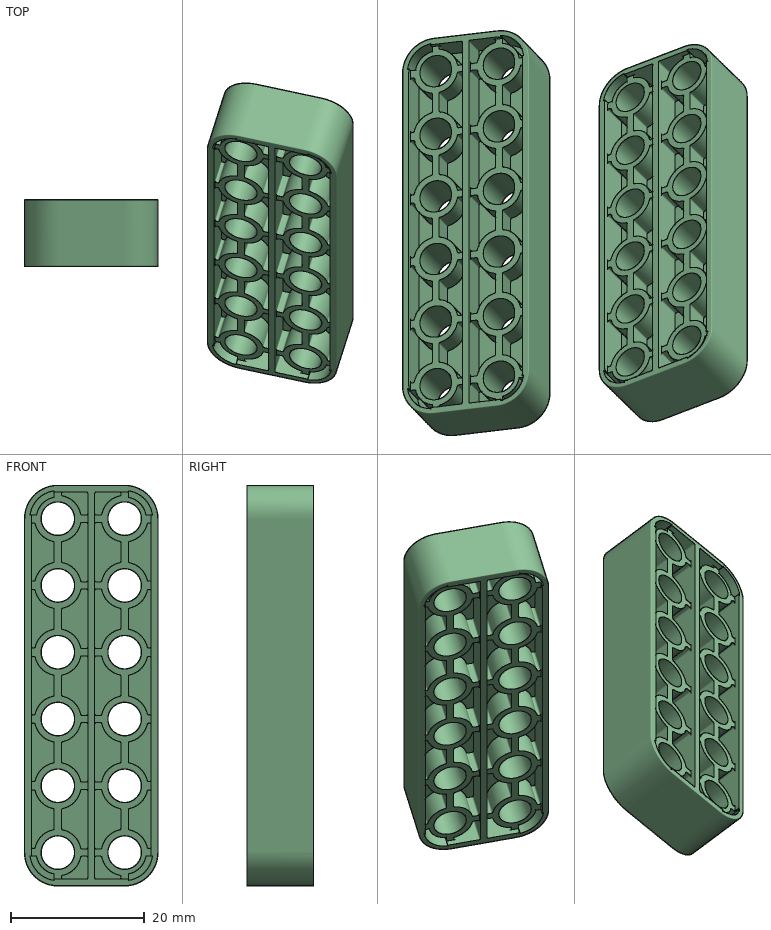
import cadquery as cq
length = 60.0
columns = 2
rows = 6
pitch = length / rows
width = columns * pitch
thickness = pitch
corner_radius = pitch / 2
rim_fillet = 0.1

wall = 1.0
web = 0.6
rib = 1.1
side_rib = 1.25
rib_recess = 0.85
hole_diameter = 5.0
tube_diameter = 6.95
pocket_fillet = 0.25

relief_inner_radius = 3.25
relief_outer_radius = 4.2

front_y = -thickness / 2
back_y = thickness / 2
lattice_y = front_y + rib_recess
web_y = -web / 2

column_xs = [(i - (columns - 1) / 2) * pitch for i in range(columns)]
row_zs = [(i - (rows - 1) / 2) * pitch for i in range(rows)]
hole_centers = [(x, z) for x in column_xs for z in row_zs]
corner_centers = [(x, z) for x in (column_xs[0], column_xs[-1]) for z in (row_zs[0], row_zs[-1])]


def bar(center, size_x, size_z, y_from, y_to):
    """Rectangular bar along Y around an (x, z) centre."""
    x, z = center
    profile = cq.Workplane("XZ", origin=(x, y_to, z)).rect(size_x, size_z)
    return profile.extrude(y_to - y_from)


def cylinders(centers, diameter, y_from, y_to):
    """One cylinder along Y at each (x, z) centre."""
    circles = cq.Workplane("XZ", origin=(0, y_to, 0)).pushPoints(centers).circle(diameter / 2)
    return circles.extrude(y_to - y_from)


def corner_quadrant(center, y_from, y_to):
    """Square bar outside the ribs of a corner tube, reaching the block's corner."""
    size = (pitch - rib) / 2
    offset = (pitch + rib) / 4
    x, z = center
    x += offset if x > 0 else -offset
    z += offset if z > 0 else -offset
    return bar((x, z), size, size, y_from, y_to)


def block():
    """Rounded outer body with softened front and back rims."""
    body = bar((0, 0), width, length, front_y, back_y).edges("|Y").fillet(corner_radius)
    return body.faces("<Y or >Y").edges().fillet(rim_fillet)


def rim_recess():
    """Shallow recess over tubes and ribs, one on each side of the centre wall."""
    recess_width = width / 2 - 1.5 * wall
    center_x = (wall + recess_width) / 2
    recess = bar((center_x, 0), recess_width, length - 2 * wall, front_y, lattice_y)
    recess = recess.edges("|Y and >X").fillet(corner_radius - wall)
    recess = recess.edges("|Y and <X").fillet(pocket_fillet)
    return recess.union(recess.mirror("YZ"))


def deep_pockets():
    """Pockets left between the walls, tubes and ribs, with filleted upright edges."""
    space = bar((0, 0), width - 2 * wall, length - 2 * wall, lattice_y, web_y)
    space = space.cut(bar((0, 0), wall, length, lattice_y, web_y))
    space = space.cut(cylinders(hole_centers, tube_diameter, lattice_y, web_y))
    for x in column_xs:
        space = space.cut(bar((x, 0), rib, length, lattice_y, web_y))
    for z in row_zs:
        space = space.cut(bar((0, z), width, rib, lattice_y, web_y))
        for side_x in (-width / 2, width / 2):
            space = space.cut(bar((side_x, z), pitch, side_rib, lattice_y, web_y))
    for center in corner_centers:
        space = space.cut(corner_quadrant(center, lattice_y, web_y))
    return space.edges("|Y").fillet(pocket_fillet)


def corner_relief(center):
    """Quarter ring that thins the tube and the outer wall at one corner."""
    ring = cylinders([center], 2 * relief_outer_radius, front_y, web_y)
    ring = ring.cut(cylinders([center], 2 * relief_inner_radius, front_y, web_y))
    return ring.intersect(corner_quadrant(center, front_y, web_y))


def face_pockets():
    """Everything hollowed out of the front face."""
    hollow = rim_recess().union(deep_pockets())
    for center in corner_centers:
        hollow = hollow.union(corner_relief(center))
    return hollow


front_pockets = face_pockets()
result = block().cut(front_pockets).cut(front_pockets.mirror("XZ"))
result = result.cut(cylinders(hole_centers, hole_diameter, front_y, back_y))